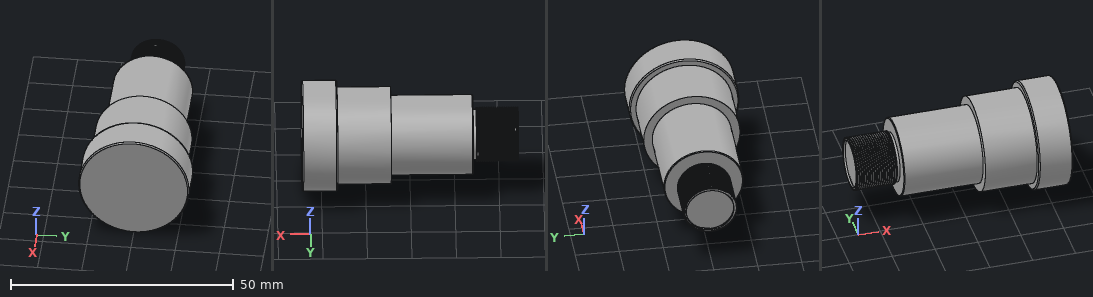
import cadquery as cq
import math

thread_end = 9.5
body_start = 10.2
collar_start = 28.65
head_start = 40.7
length = 48.7

thread_radius = 6.1
neck_radius = 5.7
body_radius = 9.0
collar_radius = 10.95
head_radius = 12.49

body_chamfer = 0.2
head_chamfer = 0.3

pitch = 0.5
groove_depth = 0.35
flank_half_angle = 30.0
groove_overlap = 0.05

recess_radius = 5.4
recess_depth = 0.5


def cylinder(radius, start, end):
    """Cylinder on the X axis between two stations."""
    return cq.Workplane("YZ", origin=(start, 0, 0)).circle(radius).extrude(end - start)


def thread_groove():
    """Right-hand helical V cutter along Z, running one pitch past both ends."""
    height = thread_end + 2 * pitch
    outer_radius = thread_radius + groove_overlap
    root_radius = thread_radius - groove_depth
    half_width = (outer_radius - root_radius) * math.tan(math.radians(flank_half_angle))
    path = cq.Wire.makeHelix(pitch, height, root_radius)
    profile = cq.Workplane("XZ").polyline([
        (root_radius, 0),
        (outer_radius, half_width),
        (outer_radius, -half_width),
    ]).close()
    return profile.sweep(cq.Workplane(path), isFrenet=True).translate((0, 0, -pitch))


def threaded_tip():
    """Threaded cylinder with a shallow recess in its front face."""
    blank_overrun = 4 * pitch
    blank = cylinder(thread_radius, -blank_overrun, thread_end + blank_overrun)
    groove = thread_groove().rotate((0, 0, 0), (0, 1, 0), 90)
    trim = cylinder(2 * thread_radius, 0, thread_end)
    tip = blank.cut(groove).intersect(trim)
    return tip.cut(cylinder(recess_radius, 0, recess_depth))


neck = cylinder(neck_radius, thread_end, body_start)
body = cylinder(body_radius, body_start, collar_start).faces("<X").chamfer(body_chamfer)
collar = cylinder(collar_radius, collar_start, head_start)
head = cylinder(head_radius, head_start, length).edges().chamfer(head_chamfer)

result = threaded_tip().union(neck).union(body).union(collar).union(head)